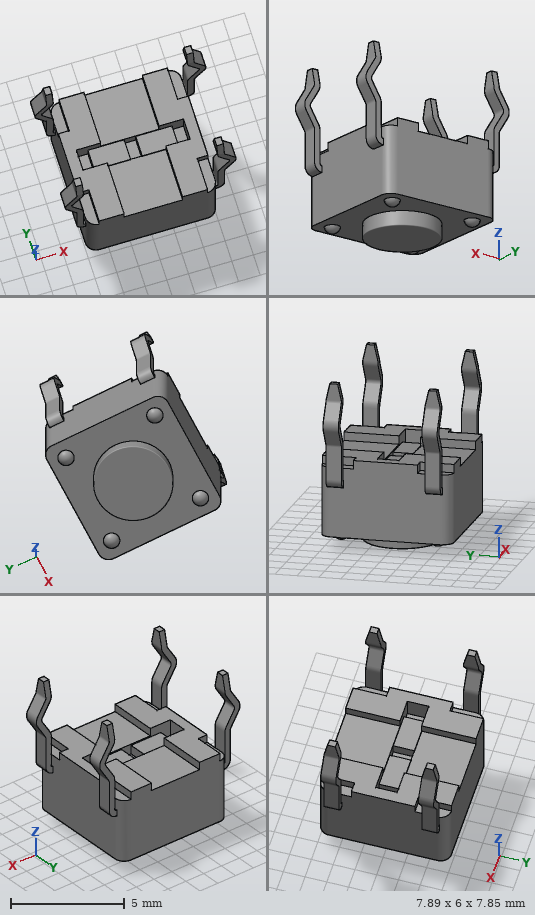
import cadquery as cq
import math

span_x = 7.89
body_side = 6.0
total_height = 7.85

body_height = 3.58
corner_radius = 0.5
step_depth = 0.39
channel_width = 2.7
shoulder_reach = 1.54

slot_length = 4.95
slot_width = 0.99
slot_depth = 0.9
island_inner_x = 0.27
island_outer_x = 1.94
island_drop = 0.06

button_radius = 1.75
button_height = 0.7
button_edge_radius = 0.04
peg_radius = 0.37
peg_height = 0.29
peg_offset = 2.2

pin_thickness = 0.31
pin_width = 0.7
pin_tip_width = 0.355
pin_y = 2.25
leg_outer_x = 3.41
foot_bottom = 2.31
foot_bend_radius = 0.1
foot_embed = 0.16
knee_z = 5.32
knee_angle = math.radians(32)
bend_radius = 0.205
taper_length = 0.76

half_body = body_side / 2
pin_top = total_height - button_height
leg_inner_x = leg_outer_x - pin_thickness


def block(x_min, x_max, y_min, y_max, z_min, z_max):
    """Box given by its limits along the three axes."""
    size = (x_max - x_min, y_max - y_min, z_max - z_min)
    return cq.Workplane("XY").box(*size, centered=False).translate((x_min, y_min, z_min))


def four_corners(shape):
    """The shape with its mirror images across the XZ and YZ planes."""
    pair = shape.union(shape.mirror("YZ"))
    return pair.union(pair.mirror("XZ"))


def make_housing():
    housing = cq.Workplane("XY").rect(body_side, body_side).extrude(body_height)
    housing = housing.edges("|Z").fillet(corner_radius)
    step_z = body_height - step_depth

    half_channel = channel_width / 2
    housing = housing.cut(
        block(-half_channel, half_channel, -half_body, half_body, step_z, body_height)
    )

    shoulder_x = half_body - corner_radius
    shoulder_y = half_body - shoulder_reach
    shoulder = block(shoulder_x, half_body, shoulder_y, half_body, step_z, body_height)
    housing = housing.cut(four_corners(shoulder))

    half_slot = slot_width / 2
    slot_floor = body_height - slot_depth
    housing = housing.cut(
        block(-slot_length / 2, slot_length / 2, -half_slot, half_slot, slot_floor, body_height)
    )
    island = block(
        island_inner_x, island_outer_x, -half_slot, half_slot, slot_floor, step_z - island_drop
    )
    return housing.union(island).union(island.mirror("YZ"))


def make_button():
    button = cq.Workplane("XY").circle(button_radius).extrude(-button_height)
    return button.faces("<Z").edges().fillet(button_edge_radius)


def make_peg():
    """Ball sunk into the housing so that only a dome shows below it."""
    return cq.Workplane("XY").sphere(peg_radius).translate(
        (peg_offset, peg_offset, peg_radius - peg_height)
    )


def make_pin():
    """Pin at +X, +Y: foot, leg, knee bulging outward, tapered tip."""
    crest_radius = bend_radius + pin_thickness
    knee_outer_x = span_x / 2 + crest_radius * (1 / math.cos(knee_angle) - 1)

    knee_half_height = (knee_outer_x - leg_outer_x) / math.tan(knee_angle)
    knee_inner_x = knee_outer_x - pin_thickness / math.cos(knee_angle)
    miter = pin_thickness * math.tan(knee_angle / 2)
    inner_half_height = knee_half_height - miter
    foot_top = foot_bottom + pin_thickness
    foot_end_x = half_body - foot_embed

    foot_outer = (leg_outer_x, foot_bottom)
    foot_inner = (leg_inner_x, foot_top)
    low_outer = (leg_outer_x, knee_z - knee_half_height)
    low_inner = (leg_inner_x, knee_z - inner_half_height)
    knee_outer = (knee_outer_x, knee_z)
    knee_inner = (knee_inner_x, knee_z)
    high_outer = (leg_outer_x, knee_z + knee_half_height)
    high_inner = (leg_inner_x, knee_z + inner_half_height)

    outline = [
        (foot_end_x, foot_bottom), foot_outer, low_outer, knee_outer, high_outer,
        (leg_outer_x, pin_top), (leg_inner_x, pin_top),
        high_inner, knee_inner, low_inner, foot_inner, (foot_end_x, foot_top),
    ]
    pin = cq.Workplane("XZ").polyline(outline).close().extrude(pin_width / 2, both=True)

    bends = [
        (foot_inner, foot_outer, foot_bend_radius),
        (low_outer, low_inner, bend_radius),
        (knee_inner, knee_outer, bend_radius),
        (high_outer, high_inner, bend_radius),
    ]
    for inside, outside, radius in bends:
        for (x, z), corner_fillet in ((inside, radius), (outside, radius + pin_thickness)):
            corner = cq.selectors.NearestToPointSelector((x, 0, z))
            pin = pin.edges("|Y").edges(corner).fillet(corner_fillet)

    taper_start = pin_top - taper_length
    front = [
        (-pin_width / 2, foot_bottom), (pin_width / 2, foot_bottom),
        (pin_width / 2, taper_start), (pin_tip_width / 2, pin_top),
        (-pin_tip_width / 2, pin_top), (-pin_width / 2, taper_start),
    ]
    pin = pin.intersect(cq.Workplane("YZ").polyline(front).close().extrude(span_x))
    return pin.translate((0, pin_y, 0))


result = (
    make_housing()
    .union(make_button())
    .union(four_corners(make_peg()))
    .union(four_corners(make_pin()))
)